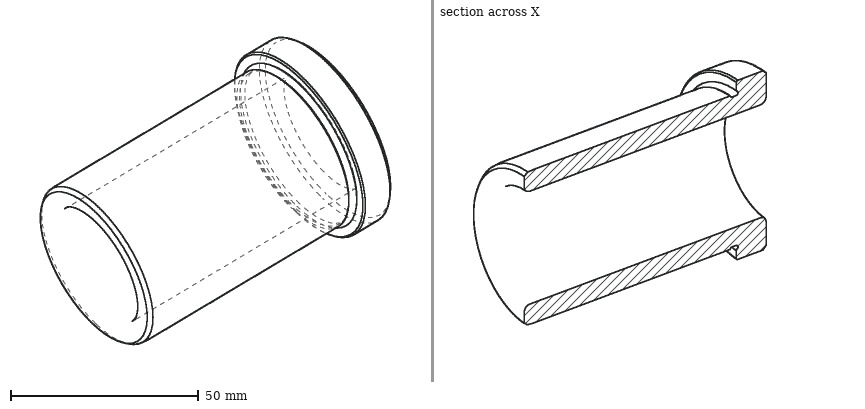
import cadquery as cq

length = 80.0
flange_radius = 56.0 / 2
flange_thickness = 10.0
sleeve_radius = 48.0 / 2
bore_radius = 35.0 / 2

rear_chamfer = 1.1
front_chamfer = 0.5

groove_width = 2.0
groove_depth = 0.6
groove_runout = 0.5

undercut_radius = 24.9
undercut_depth = 0.5

lead_length = 3.0
lead_depth = 0.2
tip_length = 1.2
tip_depth = 1.0

mouth_radius = 2.0

flange_front = length - flange_thickness
groove_front = flange_front - groove_width
groove_radius = sleeve_radius - groove_depth
lead_radius = sleeve_radius - lead_depth
tip_radius = lead_radius - tip_depth

bush = (
    cq.Workplane("XY")
    .moveTo(bore_radius, 0)
    .lineTo(tip_radius, 0)
    .lineTo(lead_radius, tip_length)
    .lineTo(sleeve_radius, lead_length)
    .lineTo(sleeve_radius, groove_front)
    .lineTo(groove_radius, groove_front + groove_runout)
    .lineTo(groove_radius, flange_front)
    .tangentArcPoint((undercut_radius - undercut_depth, flange_front + undercut_depth), relative=False)
    .lineTo(undercut_radius, flange_front)
    .lineTo(flange_radius - front_chamfer, flange_front)
    .lineTo(flange_radius, flange_front + front_chamfer)
    .lineTo(flange_radius, length - rear_chamfer)
    .lineTo(flange_radius - rear_chamfer, length)
    .lineTo(bore_radius, length)
    .close()
    .revolve(360, (0, 0, 0), (0, 1, 0))
)

bore_edges = cq.selectors.RadiusNthSelector(0)
result = bush.faces("<Y or >Y").edges(bore_edges).fillet(mouth_radius)